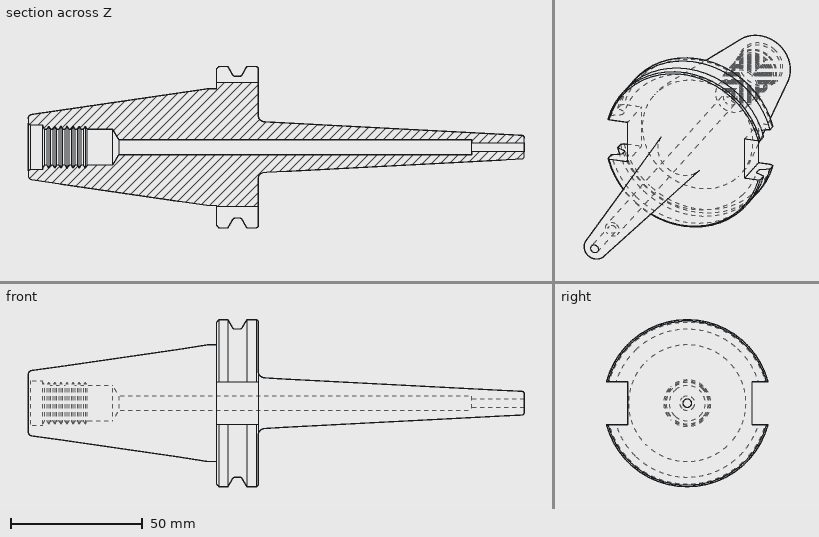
import cadquery as cq
import math


gauge_diameter = 44.45
taper_length = 68.25
taper_ratio = 7 / 24
taper_end_fillet = 1.6

flange_diameter = 63.5
flange_start = 3.175
flange_width = 15.88
flange_end = flange_start + flange_width
flange_rear_chamfer = 1.0
flange_front_chamfer = 0.6
groove_depth = 3.6
groove_floor_width = 3.0
groove_half_angle = math.radians(30)
groove_floor_fillet = 0.9

slot_width = 16.2
slot_floor_front = 22.6
slot_floor_back = 24.6

nose_end = 120.0
nose_tip_diameter = 9.0
nose_half_angle = math.radians(3)
nose_root_fillet = 2.5
nose_tip_fillet = 1.0

counterbore_diameter = 16.8
counterbore_depth = 5.5
counterbore_mouth_diameter = 17.8
counterbore_mouth_length = 0.9
thread_major_diameter = 15.88
thread_minor_diameter = 13.54
thread_pitch = 25.4 / 11
thread_groove_count = 8
thread_half_angle = math.radians(30)
thread_hole_depth = 32.0
drill_point_half_angle = math.radians(59)
clearance_diameter = 5.6
tool_bore_diameter = 3.17
tool_bore_length = 20.0

small_end = -taper_length
counterbore_end = small_end + counterbore_depth


def revolve_profile(points):
    """Solid of revolution about X from (x, radius) points that start and end on the axis."""
    return cq.Workplane("XY").polyline(points).close().revolve(360, (0, 0, 0), (1, 0, 0))


def cylinder(start, end, diameter):
    """Cylinder on the X axis."""
    return cq.Workplane("YZ", origin=(start, 0, 0)).circle(diameter / 2).extrude(end - start)


def taper():
    gauge_radius = gauge_diameter / 2
    small_radius = gauge_radius - taper_length * taper_ratio / 2
    body = revolve_profile([
        (small_end, 0),
        (small_end, small_radius),
        (0, gauge_radius),
        (flange_start, gauge_radius),
        (flange_start, 0),
    ])
    return body.faces("<X").edges().fillet(taper_end_fillet)


def flange():
    disc = cylinder(flange_start, flange_end, flange_diameter)
    disc = disc.faces("<X").edges().chamfer(flange_rear_chamfer)
    disc = disc.faces(">X").edges().chamfer(flange_front_chamfer)
    return disc.cut(gripper_groove())


def gripper_groove():
    """Ring with a trapezoidal section and rounded floor corners."""
    middle = (flange_start + flange_end) / 2
    outer_radius = flange_diameter / 2
    floor_radius = outer_radius - groove_depth
    floor_half = groove_floor_width / 2
    mouth_half = floor_half + groove_depth * math.tan(groove_half_angle)
    ring = revolve_profile([
        (middle - mouth_half, outer_radius),
        (middle - floor_half, floor_radius),
        (middle + floor_half, floor_radius),
        (middle + mouth_half, outer_radius),
    ])
    floor_edges = cq.selectors.RadiusNthSelector(0)
    return ring.edges(floor_edges).fillet(groove_floor_fillet)


def nose():
    root_radius = nose_tip_diameter / 2 + (nose_end - flange_end) * math.tan(nose_half_angle)
    body = revolve_profile([
        (flange_end, 0),
        (flange_end, root_radius),
        (nose_end, nose_tip_diameter / 2),
        (nose_end, 0),
    ])
    return body.faces(">X").edges().fillet(nose_tip_fillet)


def fillet_nose_root(body):
    flange_front_face = cq.selectors.NearestToPointSelector((flange_end, 0, 0))
    root_circle = cq.selectors.RadiusNthSelector(0)
    return body.faces(flange_front_face).edges(root_circle).fillet(nose_root_fillet)


def drive_slot(side, floor_distance):
    """Slot across the flange rim; side is +1 for +Y and -1 for -Y."""
    depth = flange_diameter / 2 - floor_distance
    middle = (flange_start + flange_end) / 2
    cutter = cq.Workplane("XY").box(flange_width, depth, slot_width)
    return cutter.translate((middle, side * (floor_distance + depth / 2), 0))


def bore():
    """Counterbore, thread core hole with drill point, clearance hole and tool bore as one shape."""
    thread_hole_end = small_end + thread_hole_depth
    drill_point_radial = (thread_minor_diameter - clearance_diameter) / 2
    drill_point_end = thread_hole_end + drill_point_radial / math.tan(drill_point_half_angle)
    tool_bore_start = nose_end - tool_bore_length
    return revolve_profile([
        (small_end, 0),
        (small_end, counterbore_mouth_diameter / 2),
        (small_end + counterbore_mouth_length, counterbore_diameter / 2),
        (counterbore_end, counterbore_diameter / 2),
        (counterbore_end, thread_minor_diameter / 2),
        (thread_hole_end, thread_minor_diameter / 2),
        (drill_point_end, clearance_diameter / 2),
        (tool_bore_start, clearance_diameter / 2),
        (tool_bore_start, tool_bore_diameter / 2),
        (nose_end, tool_bore_diameter / 2),
        (nose_end, 0),
    ])


def thread_groove(index):
    """One ring of the simplified thread: a V groove without helix.

    Ring 0 is centred on the counterbore floor, so that half of it forms the thread entry.
    """
    half_width = (thread_major_diameter - thread_minor_diameter) / 2 * math.tan(thread_half_angle)
    middle = counterbore_end + index * thread_pitch
    return revolve_profile([
        (middle - half_width, 0),
        (middle - half_width, thread_minor_diameter / 2),
        (middle, thread_major_diameter / 2),
        (middle + half_width, thread_minor_diameter / 2),
        (middle + half_width, 0),
    ])


body = taper().union(flange()).union(nose())
body = fillet_nose_root(body)
body = body.cut(drive_slot(-1, slot_floor_front))
body = body.cut(drive_slot(1, slot_floor_back))
body = body.cut(bore())
for index in range(thread_groove_count):
    body = body.cut(thread_groove(index))
result = body